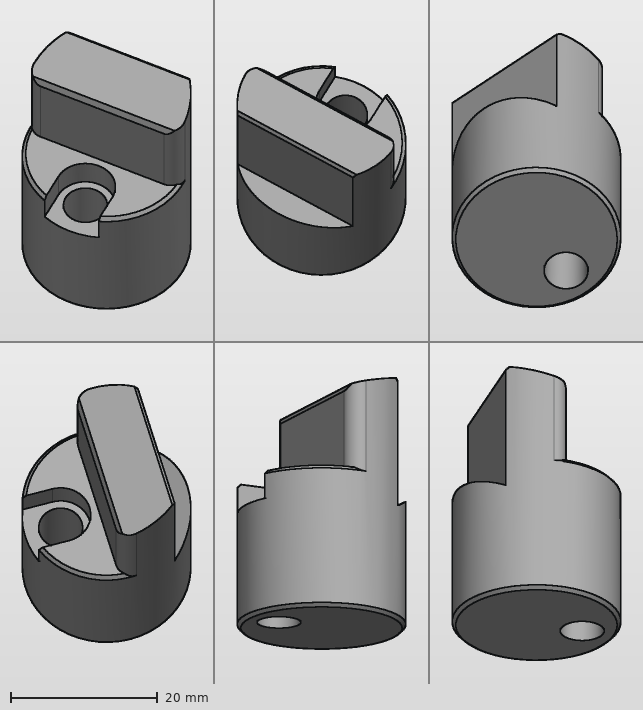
import cadquery as cq
import math

total_height = 33.83
body_radius = 11.5
edge_chamfer = 0.5

wall_front_y = -1.35
wall_back_y = 7.07
wall_corner_radius = 2.1
top_slope = math.radians(15)
crest_chamfer = 0.45
brow_depth = 0.5
brow_drop = 0.7

ledge_z = 20.0
back_floor_z = 16.0
back_slope = math.radians(30)

pocket_floor_z = 16.0
pocket_width = 8.2
hole_diameter = 6.0
hole_y = -6.5

span = 2 * body_radius


def top_z(y):
    """Height of the sloped top at a given Y."""
    return total_height - (wall_back_y - crest_chamfer - y) * math.tan(top_slope)


def make_side_solid():
    """Full-width extrusion of the side outline, with the sloped top and back cut."""
    back_rim_z = back_floor_z + (body_radius - wall_back_y) * math.tan(back_slope)
    brow_y = wall_front_y + brow_depth
    outline = [
        (-body_radius, 0),
        (body_radius, 0),
        (body_radius, back_rim_z),
        (wall_back_y, back_floor_z),
        (wall_back_y, total_height - crest_chamfer),
        (wall_back_y - crest_chamfer, total_height),
        (brow_y, top_z(brow_y)),
        (wall_front_y, top_z(wall_front_y) - brow_drop),
        (wall_front_y, ledge_z),
        (-body_radius, ledge_z),
    ]
    return cq.Workplane("YZ").polyline(outline).close().extrude(body_radius, both=True)


def make_rounded_wall(bottom_z):
    """Round bar flattened at the wall front, with rounded upright corners."""
    wall = cq.Workplane("XY", origin=(0, 0, bottom_z)).circle(body_radius).extrude(total_height - bottom_z)
    front_space = cq.Workplane("XY").box(span, span, total_height, centered=(True, False, False))
    wall = wall.cut(front_space.translate((0, wall_front_y - span, bottom_z)))
    return wall.edges("|Z and <Y").fillet(wall_corner_radius)


def make_envelope():
    """Round body, cut away in front of the wall down to a ledge with a beveled rim."""
    body = cq.Workplane("XY").circle(body_radius).extrude(total_height)
    body = body.faces("<Z").edges().chamfer(edge_chamfer)

    corner_center_y = wall_front_y + wall_corner_radius
    tangent_y = corner_center_y * body_radius / (body_radius - wall_corner_radius)

    ledge_rim_z = ledge_z - edge_chamfer
    ledge = (
        cq.Workplane("XY", origin=(0, 0, ledge_rim_z))
        .circle(body_radius)
        .workplane(offset=edge_chamfer)
        .circle(body_radius - edge_chamfer)
        .loft()
    )
    waste = cq.Workplane("XY").box(span, span, total_height, centered=(True, False, False))
    waste = waste.translate((0, tangent_y - span, ledge_rim_z))
    return body.cut(waste.cut(make_rounded_wall(ledge_rim_z)).cut(ledge))


def make_screw_seat():
    """Pocket with a round inner end, open at the front, over a through hole."""
    pocket_height = ledge_z - pocket_floor_z
    pocket = (
        cq.Workplane("XY", origin=(0, hole_y, pocket_floor_z))
        .circle(pocket_width / 2)
        .extrude(pocket_height)
    )
    mouth = (
        cq.Workplane("XY", origin=(0, hole_y - span / 2, pocket_floor_z))
        .box(pocket_width, span, pocket_height, centered=(True, True, False))
    )
    hole = cq.Workplane("XY", origin=(0, hole_y, 0)).circle(hole_diameter / 2).extrude(ledge_z)
    return pocket.union(mouth).union(hole)


result = make_envelope().intersect(make_side_solid()).cut(make_screw_seat())